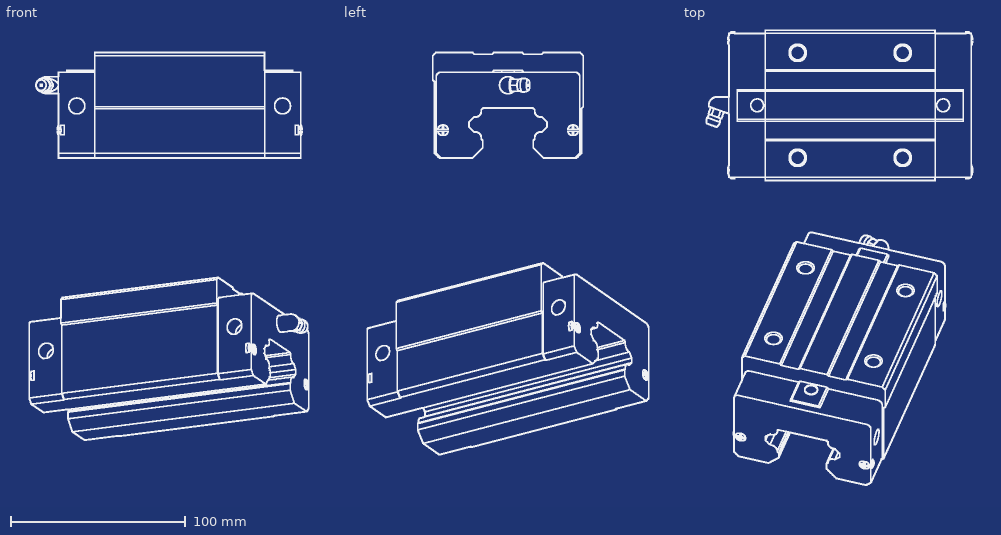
import cadquery as cq
import math


block_length = 97.2
cap_length = 16.0
seal_thickness = 4.7
cap_end = block_length / 2 + cap_length
seal_face = cap_end + seal_thickness

block_width = 86.0
block_half_width = block_width / 2
block_height = 60.5
block_lower_half_width = 42.0
top_chamfer = 1.8
bottom_chamfer = 2.9
side_step_pos_y = 44.6
side_step_neg_y = 29.4
side_step_inset = block_half_width - block_lower_half_width
groove_depth = 0.9
groove_inner = 8.0
groove_outer = 20.3
groove_slope_run = 0.9

cap_half_width = 41.1
cap_height = 49.2
cap_corner_radius = 2.9
rib_height = 1.0

opening_top_z = 28.6
opening_nose_y = 15.2
opening_lip_y = 14.3
opening_corner = 0.9
nose_radius = 3.4
race_start_y = 19.5
race_depth_y = 22.2
race_upper_z = 23.5
race_lower_z = 15.0
race_run = race_depth_y - race_start_y
lip_bottom_z = 6.1
lip_top_z = 10.0
mouth_half_width = opening_lip_y + lip_bottom_z

mount_pitch_x = 60.0
mount_pitch_y = 60.0
mount_diameter = 8.0
mount_countersink = 9.9
mount_depth = 18.3
drill_point_angle = 118

side_port_diameter = 9.1
side_port_depth = 12.2
side_port_z = 29.8
side_port_from_face = 10.5
top_port_diameter = 7.3
top_port_depth = 0.5
top_port_from_face = 16.1

screw_y = 37.2
screw_z = 16.0
screw_head_diameter = 9.6
screw_head_radius = screw_head_diameter / 2
screw_base_inset = 3.2
screw_dome_radius = 6.4
screw_dome_rise = 0.8
screw_slot_width = 0.9
screw_slot_inset = 1.5

nipple_z = 41.7
elbow_radius = 4.9
elbow_stem = 6.7
branch_angle = 20
branch_offset = 0.9
elbow_cut = 2.3
hex_across_flats = 7.0
hex_end = 6.4
neck_radius = 3.4
ring_radius = 4.0
ring_position = 8.5
tip_radius = 3.0
tip_position = 11.9
tip_bulge = 0.3
tip_bore_diameter = 1.2
tip_bore_depth = 1.5


def extrude_along_x(outline, start, end):
    """Extrude a closed YZ sketch between two X positions."""
    return outline(cq.Workplane("YZ", origin=(start, 0, 0))).close().extrude(end - start)


def block_outline(plane):
    """Steel block section; the side step sits at a different height on each side."""
    groove_floor = block_height - groove_depth
    w = block_half_width
    lower = block_lower_half_width
    return plane.polyline([
        (-lower + bottom_chamfer, 0),
        (lower - bottom_chamfer, 0),
        (lower, bottom_chamfer),
        (lower, side_step_pos_y - side_step_inset),
        (w, side_step_pos_y),
        (w, block_height - top_chamfer),
        (w - top_chamfer, block_height),
        (groove_outer, block_height),
        (groove_outer - groove_slope_run, groove_floor),
        (groove_inner + groove_slope_run, groove_floor),
        (groove_inner, block_height),
        (-groove_inner, block_height),
        (-groove_inner - groove_slope_run, groove_floor),
        (-groove_outer + groove_slope_run, groove_floor),
        (-groove_outer, block_height),
        (-w + top_chamfer, block_height),
        (-w, block_height - top_chamfer),
        (-w, side_step_neg_y),
        (-lower, side_step_neg_y - side_step_inset),
        (-lower, bottom_chamfer),
    ])


def rib_outline(plane):
    """Raised land on the end caps, sunk slightly into them so that it fuses."""
    top = cap_height + rib_height
    base = groove_inner + groove_slope_run
    return plane.polyline([
        (-base, cap_height - rib_height),
        (base, cap_height - rib_height),
        (base, cap_height),
        (groove_inner, top),
        (-groove_inner, top),
        (-base, cap_height),
    ])


def half_opening_outline(plane):
    """Positive-Y half of the rail opening, with rounded noses around the ball race."""
    nose_centre_y = opening_nose_y + nose_radius
    upper_nose_z = race_upper_z + nose_radius
    lower_nose_z = race_lower_z - nose_radius
    mid_y = nose_centre_y - nose_radius * math.sqrt(0.5)
    mid_z = nose_radius * math.sqrt(0.5)
    return (
        plane.moveTo(0, 0)
        .lineTo(0, opening_top_z)
        .lineTo(opening_nose_y - opening_corner, opening_top_z)
        .lineTo(opening_nose_y, opening_top_z - opening_corner)
        .lineTo(opening_nose_y, upper_nose_z)
        .threePointArc((mid_y, upper_nose_z - mid_z), (nose_centre_y, race_upper_z))
        .lineTo(race_start_y, race_upper_z)
        .lineTo(race_depth_y, race_upper_z - race_run)
        .lineTo(race_depth_y, race_lower_z + race_run)
        .lineTo(race_start_y, race_lower_z)
        .lineTo(nose_centre_y, race_lower_z)
        .threePointArc((mid_y, lower_nose_z + mid_z), (opening_nose_y, lower_nose_z))
        .lineTo(opening_nose_y, lip_top_z + opening_corner)
        .lineTo(opening_lip_y, lip_top_z)
        .lineTo(opening_lip_y, lip_bottom_z)
        .lineTo(mouth_half_width, 0)
    )


def make_body():
    ends = (
        cq.Workplane("XY")
        .box(2 * seal_face, 2 * cap_half_width, cap_height, centered=(True, True, False))
        .edges("|X and >Z").fillet(cap_corner_radius)
        .edges("|X and <Z").chamfer(bottom_chamfer)
    )
    block = extrude_along_x(block_outline, -block_length / 2, block_length / 2)
    rib = extrude_along_x(rib_outline, -cap_end, cap_end)
    half_opening = extrude_along_x(half_opening_outline, -seal_face, seal_face)
    opening = half_opening.union(half_opening.mirror("XZ"))
    return ends.union(block).union(rib).cut(opening)


def make_mounting_hole():
    """Countersunk blind hole with a drill point, mouth at the origin, pointing down."""
    radius = mount_diameter / 2
    mouth_radius = mount_countersink / 2
    countersink_depth = mouth_radius - radius
    point_depth = radius / math.tan(math.radians(drill_point_angle / 2))
    return (
        cq.Workplane("XZ")
        .polyline([
            (0, 0),
            (mouth_radius, 0),
            (radius, -countersink_depth),
            (radius, -mount_depth),
            (0, -mount_depth - point_depth),
        ])
        .close()
        .revolve(360, (0, 0), (0, 1))
    )


def cut_holes(body):
    mounting_hole = make_mounting_hole()
    for x in (-mount_pitch_x / 2, mount_pitch_x / 2):
        for y in (-mount_pitch_y / 2, mount_pitch_y / 2):
            body = body.cut(mounting_hole.translate((x, y, block_height)))

    side_port_x = seal_face - side_port_from_face
    top_port_x = seal_face - top_port_from_face
    rib_top = cap_height + rib_height
    for end in (-1, 1):
        top_port = cq.Solid.makeCylinder(
            top_port_diameter / 2, top_port_depth,
            cq.Vector(end * top_port_x, 0, rib_top), cq.Vector(0, 0, -1),
        )
        body = body.cut(cq.Workplane(top_port))
        for side in (-1, 1):
            side_port = cq.Solid.makeCylinder(
                side_port_diameter / 2, side_port_depth,
                cq.Vector(end * side_port_x, side * cap_half_width, side_port_z),
                cq.Vector(0, -side, 0),
            )
            body = body.cut(cq.Workplane(side_port))
    return body


def make_screw():
    """Domed, cross-slotted head facing +X; the seal face is at X = 0."""
    slot_length = 2 * screw_head_radius
    dome_centre = screw_dome_rise - screw_dome_radius
    shoulder_x = dome_centre + math.sqrt(screw_dome_radius ** 2 - screw_head_radius ** 2)
    arc_angle = math.asin(screw_head_radius / screw_dome_radius) / 2
    arc_middle = (
        dome_centre + screw_dome_radius * math.cos(arc_angle),
        screw_dome_radius * math.sin(arc_angle),
    )
    head = (
        cq.Workplane("XY")
        .moveTo(-screw_base_inset, 0)
        .lineTo(-screw_base_inset, screw_head_radius)
        .lineTo(shoulder_x, screw_head_radius)
        .threePointArc(arc_middle, (screw_dome_rise, 0))
        .close()
        .revolve(360, (0, 0), (1, 0))
    )
    slot_plane = cq.Workplane("YZ", origin=(-screw_slot_inset, 0, 0))
    slot_depth = screw_slot_inset + screw_dome_rise
    head = head.cut(slot_plane.rect(slot_length, screw_slot_width).extrude(slot_depth))
    return head.cut(slot_plane.rect(screw_slot_width, slot_length).extrude(slot_depth))


def add_screws(body):
    screw = make_screw()
    for side in (-1, 1):
        placed = screw.translate((seal_face, side * screw_y, screw_z))
        body = body.union(placed).union(placed.mirror("YZ"))
    return body


def make_nipple():
    """Elbow fitting on the -X seal: stub with a ball end and an angled hexagonal branch."""
    elbow_x = -seal_face - elbow_stem
    angle = math.radians(branch_angle)
    outward = cq.Vector(-math.sin(angle), -math.cos(angle), 0)
    across = cq.Vector(math.cos(angle), -math.sin(angle), 0)
    elbow_centre = cq.Vector(elbow_x, 0, nipple_z)

    arc_middle = elbow_radius * math.sqrt(0.5)
    ball_ended_stem = (
        cq.Workplane("XY", origin=elbow_centre.toTuple())
        .moveTo(elbow_stem, 0)
        .lineTo(elbow_stem, elbow_radius)
        .lineTo(0, elbow_radius)
        .threePointArc((-arc_middle, arc_middle), (-elbow_radius, 0))
        .close()
        .revolve(360, (0, 0), (1, 0))
    )
    trim_size = 4 * (elbow_stem + elbow_radius)
    cut_plane = cq.Plane(elbow_centre + outward * elbow_cut, across, outward)
    trim = cq.Workplane(cut_plane).rect(trim_size, trim_size).extrude(trim_size)
    elbow = ball_ended_stem.cut(trim)

    branch_start = elbow_centre + across * branch_offset
    branch_plane = cq.Plane(branch_start, across, outward)
    hex_across_corners = hex_across_flats / math.cos(math.pi / 6)
    hexagon = cq.Workplane(branch_plane).polygon(6, hex_across_corners).extrude(hex_end)
    bulge_radius = (ring_radius + tip_radius) / 2 + tip_bulge
    head_plane = cq.Plane(branch_start, across, across.cross(outward))
    head = (
        cq.Workplane(head_plane)
        .moveTo(0, hex_end)
        .lineTo(neck_radius, hex_end)
        .lineTo(ring_radius, ring_position)
        .threePointArc((bulge_radius, (ring_position + tip_position) / 2), (tip_radius, tip_position))
        .lineTo(0, tip_position)
        .close()
        .revolve(360, (0, 0), (0, 1))
    )
    bore_plane = cq.Plane(branch_start + outward * tip_position, across, outward)
    bore = cq.Workplane(bore_plane).circle(tip_bore_diameter / 2).extrude(-tip_bore_depth)
    return elbow.union(hexagon).union(head).cut(bore)


result = add_screws(cut_holes(make_body())).union(make_nipple())